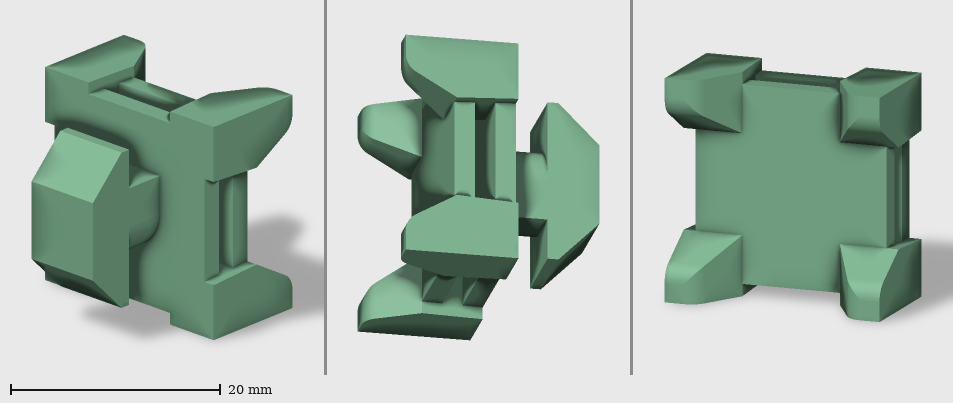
import cadquery as cq
import math

body_width = 22.0
post_depth = 11.0
plate_thickness = 2.0
plate_gap = 2.0
edge_recess = 1.2
plates_depth = 2 * plate_thickness + plate_gap

front_half_opening = 5.32
inner_half_opening = 5.0
flare_angle = 60.0
tip_radius = 2.0

stem_length = 4.33
lock_half_width = 4.0
head_half_height = 2 * lock_half_width
head_depth = 5.05
head_chamfer = head_half_height - lock_half_width


def post_pair():
    """Two mirrored side profiles in XY, extruded over the full height."""
    flare_run = (post_depth - plates_depth) / math.tan(math.radians(flare_angle))
    tip_half_opening = inner_half_opening + flare_run
    side = (
        cq.Workplane("XY")
        .workplane(offset=-body_width / 2)
        .moveTo(front_half_opening, 0)
        .lineTo(inner_half_opening, plates_depth)
        .lineTo(tip_half_opening, post_depth)
        .lineTo(body_width / 2, post_depth)
        .lineTo(body_width / 2, 0)
        .close()
        .extrude(body_width)
    )
    tip_edge = cq.selectors.NearestToPointSelector((tip_half_opening, post_depth, 0))
    side = side.edges(tip_edge).fillet(tip_radius)
    return side.union(side.mirror("YZ"))


def corner_posts():
    """Posts stand where the X-spaced and Z-spaced profiles overlap."""
    pair = post_pair()
    return pair.intersect(pair.rotate((0, 0, 0), (0, 1, 0), 90))


def plate(front_y):
    width = body_width - 2 * edge_recess
    return cq.Workplane("XY").box(
        width, plate_thickness, width, centered=(True, False, True)
    ).translate((0, front_y, 0))


def stem():
    """Square stem with two opposite corners rounded so the lock can turn one way."""
    r = lock_half_width
    d = r * math.sqrt(0.5)
    return (
        cq.Workplane("XZ")
        .moveTo(-r, -r)
        .lineTo(-r, 0)
        .threePointArc((-d, d), (0, r))
        .lineTo(r, r)
        .lineTo(r, 0)
        .threePointArc((d, -d), (0, -r))
        .close()
        .extrude(stem_length)
    )


def head():
    """Tall locking bar with its two front edges chamfered."""
    bar = cq.Workplane("XY").box(2 * lock_half_width, head_depth, 2 * head_half_height)
    bar = bar.faces("<Y").edges("|X").chamfer(head_chamfer)
    return bar.translate((0, -stem_length - head_depth / 2, 0))


result = (
    corner_posts()
    .union(plate(0))
    .union(plate(plate_thickness + plate_gap))
    .union(stem())
    .union(head())
)